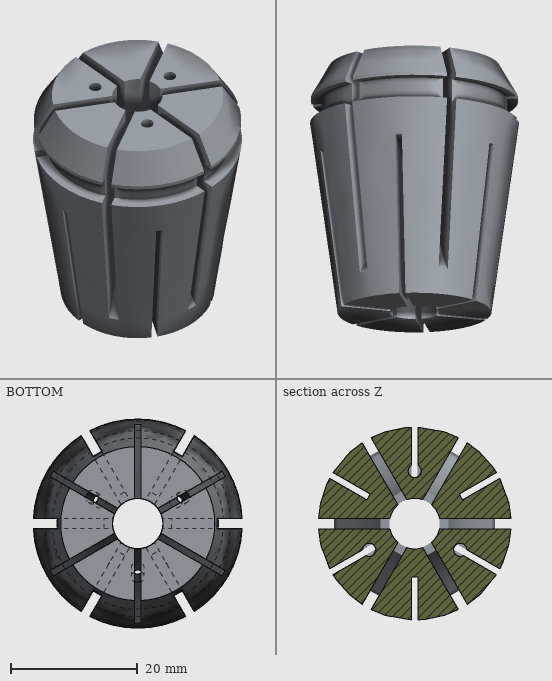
import cadquery as cq
import math

length = 40.0
body_radius = 33.0 / 2
body_top_z = 30.9
body_taper = 8.0
bore_radius = 3.95

rim_bottom_z = 34.5
rim_top_z = 35.1
nose_cone_angle = 30.0
face_radius = 13.5
groove_radius = 14.7

slot_count = 6
slot_pitch = 360.0 / slot_count
cut_margin = 0.8
slot_reach = body_radius + cut_margin

wide_slot_width = 1.55
wide_floor_inner_z = 19.5
wide_floor_outer_z = 4.0
wide_floor_flat_radius = 5.35
wide_floor_arc_radius = 32.0

narrow_slot_width = 1.0
narrow_ceiling_inner_z = 17.5
narrow_ceiling_outer_z = 25.0
narrow_ceiling_arc_radius = 18.0

coolant_hole_count = 3
coolant_hole_diameter = 2.0
coolant_hole_face_radius = 6.95
coolant_hole_tilt = 4.2
coolant_hole_depth = 20.0


def taper_radius(z):
    """Radius of the tapered outer surface at height z."""
    return body_radius - (body_top_z - z) * math.tan(math.radians(body_taper))


def make_body():
    rim_radius = face_radius + (length - rim_top_z) * math.tan(math.radians(nose_cone_angle))
    return (
        cq.Workplane("XZ")
        .moveTo(bore_radius, 0)
        .lineTo(taper_radius(0), 0)
        .lineTo(body_radius, body_top_z)
        .lineTo(groove_radius, body_top_z)
        .lineTo(groove_radius, rim_bottom_z)
        .lineTo(rim_radius, rim_bottom_z)
        .lineTo(rim_radius, rim_top_z)
        .lineTo(face_radius, length)
        .lineTo(bore_radius, length)
        .close()
        .revolve(360, (0, 0, 0), (0, 1, 0))
    )


def make_wide_slot():
    """Wide slot along +X."""
    outer_radius = taper_radius(wide_floor_outer_z)
    top_z = length + cut_margin
    return (
        cq.Workplane("XZ")
        .moveTo(0, top_z)
        .lineTo(0, wide_floor_inner_z)
        .lineTo(wide_floor_flat_radius, wide_floor_inner_z)
        .radiusArc((outer_radius, wide_floor_outer_z), -wide_floor_arc_radius)
        .lineTo(slot_reach, wide_floor_outer_z)
        .lineTo(slot_reach, top_z)
        .close()
        .extrude(wide_slot_width / 2, both=True)
    )


def make_narrow_slot():
    """Narrow slot along +X."""
    outer_radius = taper_radius(narrow_ceiling_outer_z)
    return (
        cq.Workplane("XZ")
        .moveTo(0, -cut_margin)
        .lineTo(0, narrow_ceiling_inner_z)
        .lineTo(bore_radius, narrow_ceiling_inner_z)
        .radiusArc((outer_radius, narrow_ceiling_outer_z), narrow_ceiling_arc_radius)
        .lineTo(slot_reach, narrow_ceiling_outer_z)
        .lineTo(slot_reach, -cut_margin)
        .close()
        .extrude(narrow_slot_width / 2, both=True)
    )


def make_coolant_hole():
    """Tilted hole in the +X half, leaning outward toward the tail."""
    tilt = math.radians(coolant_hole_tilt)
    down_axis = cq.Vector(math.sin(tilt), 0, -math.cos(tilt))
    face_point = cq.Vector(coolant_hole_face_radius, 0, length)
    start = face_point - down_axis * cut_margin
    cut_length = coolant_hole_depth + cut_margin
    return cq.Workplane(cq.Solid.makeCylinder(coolant_hole_diameter / 2, cut_length, start, down_axis))


def cut_around(part, cutter, count, first_angle):
    """Cut evenly spaced copies of a cutter around the axis."""
    for index in range(count):
        angle = first_angle + index * 360.0 / count
        part = part.cut(cutter.rotate((0, 0, 0), (0, 0, 1), angle))
    return part


result = make_body()
result = cut_around(result, make_wide_slot(), slot_count, 0)
result = cut_around(result, make_narrow_slot(), slot_count, slot_pitch / 2)
result = cut_around(result, make_coolant_hole(), coolant_hole_count, 90)